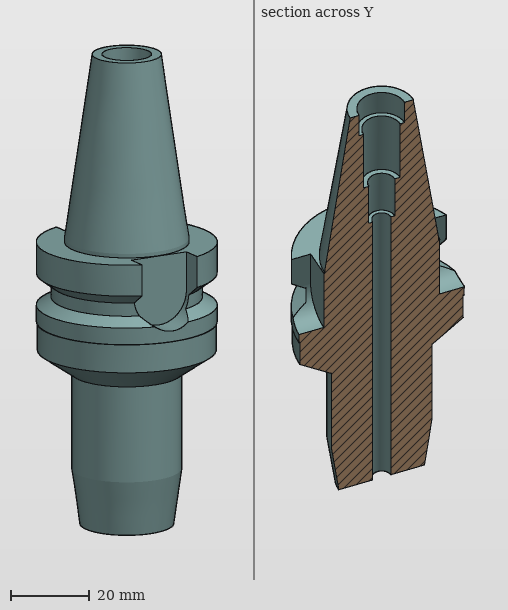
import cadquery as cq

TOTAL_HEIGHT = 123.4
NOSE_TAPER_Z = 14.4
BODY_TOP_Z = 39.6
COLLAR_BOTTOM_Z = 45.7
COLLAR_STEP_Z = 53.1
COLLAR_TOP_Z = 57.5
GROOVE_BOTTOM_Z = 59.6
GROOVE_TOP_Z = 63.0
FLANGE_BOTTOM_Z = 65.9
FLANGE_TOP_Z = 74.0
GAUGE_Z = 75.0

NOSE_DIAMETER = 24.0
BODY_DIAMETER = 28.0
COLLAR_DIAMETER = 45.5
FLANGE_DIAMETER = 46.0
GROOVE_DIAMETER = 38.5
GAUGE_DIAMETER = 31.7
SHANK_TIP_DIAMETER = 17.6

SLOT_WIDTH = 16.2
SLOT_FLOOR_X = 16.2
SLOT_BOTTOM_Z = 55.9

THROUGH_DIAMETER = 5.0
BORE_STEPS = [
    (12.6, 6.8),
    (10.1, 24.7),
    (7.2, 37.0),
]


def make_body():
    """Revolve the taper shank, grooved flange and nose about Z."""
    profile = [
        (0, 0),
        (NOSE_DIAMETER / 2, 0),
        (BODY_DIAMETER / 2, NOSE_TAPER_Z),
        (BODY_DIAMETER / 2, BODY_TOP_Z),
        (COLLAR_DIAMETER / 2, COLLAR_BOTTOM_Z),
        (COLLAR_DIAMETER / 2, COLLAR_STEP_Z),
        (FLANGE_DIAMETER / 2, COLLAR_STEP_Z),
        (FLANGE_DIAMETER / 2, COLLAR_TOP_Z),
        (GROOVE_DIAMETER / 2, GROOVE_BOTTOM_Z),
        (GROOVE_DIAMETER / 2, GROOVE_TOP_Z),
        (FLANGE_DIAMETER / 2, FLANGE_BOTTOM_Z),
        (FLANGE_DIAMETER / 2, FLANGE_TOP_Z),
        (GAUGE_DIAMETER / 2, FLANGE_TOP_Z),
        (GAUGE_DIAMETER / 2, GAUGE_Z),
        (SHANK_TIP_DIAMETER / 2, TOTAL_HEIGHT),
        (0, TOTAL_HEIGHT),
    ]
    return cq.Workplane("XZ").polyline(profile).close().revolve(360, (0, 0), (0, 1))


def make_drive_slot(side):
    """Cutter for a round-bottomed slot, open at the flange top; side is -1 or +1 along X."""
    half_width = SLOT_WIDTH / 2
    arc_center_z = SLOT_BOTTOM_Z + half_width
    return (
        cq.Workplane("YZ", origin=(side * SLOT_FLOOR_X, 0, 0))
        .moveTo(-half_width, FLANGE_TOP_Z)
        .lineTo(-half_width, arc_center_z)
        .threePointArc((0, SLOT_BOTTOM_Z), (half_width, arc_center_z))
        .lineTo(half_width, FLANGE_TOP_Z)
        .close()
        .extrude(side * FLANGE_DIAMETER / 2)
    )


def make_bore():
    """Cutter for the through hole with its wider steps sunk from the shank tip."""
    bore = cq.Workplane("XY").circle(THROUGH_DIAMETER / 2).extrude(TOTAL_HEIGHT)
    for diameter, depth in BORE_STEPS:
        step = cq.Workplane("XY", origin=(0, 0, TOTAL_HEIGHT - depth)).circle(diameter / 2).extrude(depth)
        bore = bore.union(step)
    return bore


result = make_body().cut(make_bore())
for slot_side in (-1, 1):
    result = result.cut(make_drive_slot(slot_side))